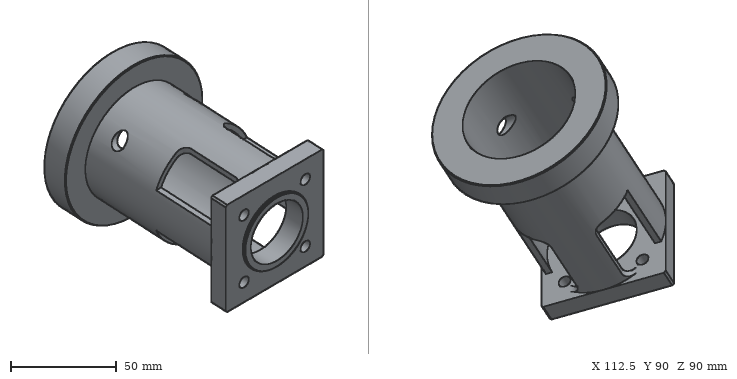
import cadquery as cq

FLANGE_DIAMETER = 90.0
FLANGE_THICKNESS = 15.0
FLANGE_CHAMFER = 0.5

TUBE_DIAMETER = 64.0
BORE_DIAMETER = 58.0

OVERALL_LENGTH = 112.5
BOSS_HEIGHT = 1.5
BOSS_DIAMETER = 42.0
BOSS_CHAMFER = 0.5
PLATE_THICKNESS = 10.0
PLATE_WIDTH = TUBE_DIAMETER
PLATE_CORNER_CHAMFER = 1.0
SHAFT_HOLE_DIAMETER = 34.0
PLATE_BACK = OVERALL_LENGTH - BOSS_HEIGHT
PLATE_FRONT = PLATE_BACK - PLATE_THICKNESS

SCREW_HOLE_DIAMETER = 6.2
SCREW_HOLE_SPACING = 40.0

WINDOW_LENGTH = 40.0
WINDOW_CORNER_RADIUS = 5.0
TOP_RIB_WIDTH = 23.0
SIDE_RIB_WIDTH = 24.0

CROSS_HOLE_DIAMETER = 8.0
CROSS_HOLE_X = 30.0
CROSS_HOLE_Z = 21.0


def cylinder_along_x(diameter, start, end):
    return cq.Workplane("YZ", origin=(start, 0, 0)).circle(diameter / 2).extrude(end - start)


def make_flange():
    flange = cylinder_along_x(FLANGE_DIAMETER, 0, FLANGE_THICKNESS)
    return flange.edges().chamfer(FLANGE_CHAMFER)


def make_end_plate():
    plate = (
        cq.Workplane("YZ", origin=(PLATE_FRONT, 0, 0))
        .rect(PLATE_WIDTH, PLATE_WIDTH)
        .extrude(PLATE_THICKNESS)
        .edges("|X")
        .chamfer(PLATE_CORNER_CHAMFER)
    )
    boss = cylinder_along_x(BOSS_DIAMETER, PLATE_FRONT, OVERALL_LENGTH)
    return plate.union(boss.faces(">X").edges().chamfer(BOSS_CHAMFER))


def make_window(y_side, z_side):
    """Window cutter for one quadrant: corners are rounded only beside the top or bottom rib."""
    inner_y = TOP_RIB_WIDTH / 2
    inner_z = SIDE_RIB_WIDTH / 2
    reach = TUBE_DIAMETER / 2
    window = (
        cq.Workplane("XY")
        .box(WINDOW_LENGTH, reach - inner_y, reach - inner_z, centered=False)
        .edges("|Z and <Y")
        .fillet(WINDOW_CORNER_RADIUS)
        .translate((PLATE_FRONT - WINDOW_LENGTH, inner_y, inner_z))
    )
    if y_side < 0:
        window = window.mirror("XZ")
    if z_side < 0:
        window = window.mirror("XY")
    return window


def make_screw_holes():
    return (
        cq.Workplane("YZ", origin=(PLATE_FRONT, 0, 0))
        .rect(SCREW_HOLE_SPACING, SCREW_HOLE_SPACING, forConstruction=True)
        .vertices()
        .circle(SCREW_HOLE_DIAMETER / 2)
        .extrude(PLATE_THICKNESS)
    )


def make_cross_hole():
    return (
        cq.Workplane("XZ")
        .center(CROSS_HOLE_X, CROSS_HOLE_Z)
        .circle(CROSS_HOLE_DIAMETER / 2)
        .extrude(TUBE_DIAMETER / 2, both=True)
    )


body = make_flange().union(cylinder_along_x(TUBE_DIAMETER, 0, PLATE_FRONT))
body = body.cut(cylinder_along_x(BORE_DIAMETER, 0, PLATE_FRONT))

for y_side in (-1, 1):
    for z_side in (-1, 1):
        body = body.cut(make_window(y_side, z_side))
body = body.cut(make_cross_hole())

end_plate = make_end_plate()
end_plate = end_plate.cut(cylinder_along_x(SHAFT_HOLE_DIAMETER, PLATE_FRONT, OVERALL_LENGTH))
end_plate = end_plate.cut(make_screw_holes())

result = body.union(end_plate)